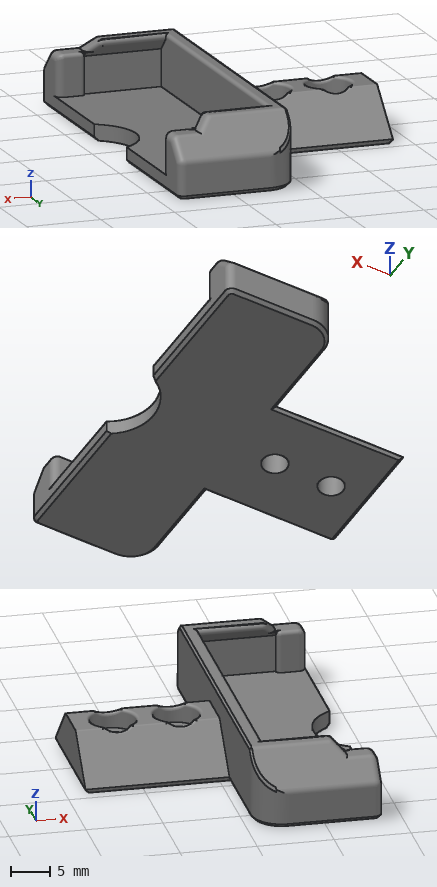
import cadquery as cq
import math

length_x = 35.0
tray_width = 50.0
tray_height = 9.5
tray_left = 18.7
corner_radius = 4.0
bevel = 4.55
outer_fillet = 1.0
rim_chamfer = 0.3
rim_chamfer_length = 2.5
base_chamfer = 0.5

post_height = 7.75
ramp_start = 29.4
ramp_fillet = 0.7
ramp_end = ramp_start + tray_height - post_height

floor_height = 2.15
left_wall = 2.0
pocket_half_width = 20.0
lip_thickness = 2.0
lip_fillet = 0.5
post_seam = 21.0
pad_corner_fillet = 0.6

notch_radius = 6.75
notch_depth = 3.45

rail_height = 6.35
rail_half_width = 8.7
rail_edge_height = 0.6
rail_foot_inset = 0.25
rail_fillet = 0.4

hole_positions = (5.5, 13.75)
hole_diameter = 3.5
head_diameter = 6.0
head_seat_height = 3.75

tolerance = 0.005

half_width = tray_width / 2
pocket_left = tray_left + left_wall
bevel_sum = half_width + tray_height - bevel
lip_sum = bevel_sum - lip_thickness * math.sqrt(2)
pad_face = lip_sum - post_height
rim_chamfer_end = tray_left + rim_chamfer_length
notch_center = length_x - notch_depth + notch_radius


def box_between(x0, x1, y0, y1, z0, z1):
    """Box spanning the given coordinate ranges."""
    return cq.Workplane("XY", origin=(x0, y0, z0)).box(x1 - x0, y1 - y0, z1 - z0, centered=False)


def edges_where(solid, test):
    """Select the edges that pass a test on the edge, its bounding box and its centre."""
    return solid.newObject([e for e in solid.edges().vals() if test(e, e.BoundingBox(), e.Center())])


def outer_block():
    """Solid tray body: bevelled, stepped down at the open end and rounded on the outside."""
    step = (
        cq.Workplane("XZ")
        .polyline([
            (ramp_start, tray_height),
            (ramp_end, post_height),
            (length_x, post_height),
            (length_x, tray_height),
        ])
        .close()
        .extrude(half_width, both=True)
    )
    bevelled_bar = (
        cq.Workplane("YZ")
        .polyline([
            (-half_width, 0),
            (half_width, 0),
            (half_width, tray_height - bevel),
            (half_width - bevel, tray_height),
            (bevel - half_width, tray_height),
            (-half_width, tray_height - bevel),
        ])
        .close()
        .extrude(length_x)
        .cut(step)
    )

    def is_along_bevel(edge, box, center):
        on_bevel = abs(abs(center.y) + center.z - bevel_sum) < tolerance
        return on_bevel and box.xmax - box.xmin > tolerance

    rounded_bar = edges_where(bevelled_bar, is_along_bevel).fillet(outer_fillet)
    rounded_plan = box_between(tray_left, length_x, -half_width, half_width, 0, tray_height)
    rounded_plan = rounded_plan.edges("|Z and <X").fillet(corner_radius)
    sharp_block = rounded_plan.intersect(bevelled_bar)
    block = rounded_plan.intersect(rounded_bar)

    def is_rim(edge, box, center):
        on_left_end = box.xmax < tray_left + corner_radius + tolerance
        return on_left_end and box.zmax > tray_height - bevel + tolerance and box.zmin > tolerance

    trimmed = edges_where(sharp_block, is_rim).chamfer(rim_chamfer)
    rim_waste = sharp_block.cut(trimmed).intersect(
        box_between(tray_left, rim_chamfer_end, -half_width, half_width, 0, tray_height)
    )
    return block.cut(rim_waste)


def pocket():
    """Opening with side lips that lean inwards, parallel to the bevels."""
    return (
        cq.Workplane("YZ", origin=(pocket_left, 0, 0))
        .polyline([
            (-pocket_half_width, floor_height),
            (pocket_half_width, floor_height),
            (pocket_half_width, lip_sum - pocket_half_width),
            (lip_sum - tray_height, tray_height),
            (tray_height - lip_sum, tray_height),
            (-pocket_half_width, lip_sum - pocket_half_width),
        ])
        .close()
        .extrude(length_x - pocket_left)
    )


def round_lip(tray):
    """Round the inner top edge of the left wall and of the overhanging side lips."""

    def is_inner_edge(edge, box, center):
        on_lip = abs(abs(center.y) + center.z - lip_sum) < tolerance and box.zmax > post_height + tolerance
        on_left_wall = abs(center.x - pocket_left) < tolerance and box.zmin > tray_height - tolerance
        along_lip = on_lip and box.xmax - box.xmin > tolerance
        return along_lip or (on_left_wall and box.xmax - box.xmin < tolerance)

    return edges_where(tray, is_inner_edge).fillet(lip_fillet)


def round_open_end(tray):
    """Round the ends of the posts and the top edges of the ramps."""

    def is_post_end(edge, box, center):
        at_end = box.xmin > length_x - tolerance
        return at_end and abs(center.y) > pocket_half_width + tolerance

    def is_ramp_top(edge, box, center):
        return (
            abs(center.x - ramp_start) < tolerance
            and box.xmax - box.xmin < tolerance
            and box.zmin > tray_height - tolerance
        )

    tray = edges_where(tray, is_post_end).fillet(outer_fillet)
    return edges_where(tray, is_ramp_top).fillet(ramp_fillet)


def grip_pad():
    """Inner part of the +Y post, reaching inwards past the pocket wall."""
    pad = box_between(ramp_end, length_x, pad_face, post_seam, floor_height, post_height)
    pad = pad.faces("<Y").edges(">Z").fillet(lip_fillet)

    def is_open_end(edge, box, center):
        at_end = box.xmin > length_x - tolerance and box.zmax > floor_height + tolerance
        return at_end and center.y < post_seam - tolerance

    def is_entry_corner(edge, box, center):
        at_entry = box.xmax < ramp_end + tolerance
        return at_entry and box.ymax < pad_face + tolerance

    pad = edges_where(pad, is_open_end).fillet(outer_fillet)
    return edges_where(pad, is_entry_corner).fillet(pad_corner_fillet)


def rail():
    """Dovetail-shaped bar with two counterbored screw holes."""
    top_half_width = rail_half_width - (rail_height - rail_edge_height)
    foot_half_width = rail_half_width - rail_foot_inset
    bar = (
        cq.Workplane("YZ")
        .polyline([
            (-foot_half_width, 0),
            (foot_half_width, 0),
            (rail_half_width, rail_edge_height),
            (top_half_width, rail_height),
            (-top_half_width, rail_height),
            (-rail_half_width, rail_edge_height),
        ])
        .close()
        .extrude(pocket_left)
    )
    bar = bar.faces("<X").edges("<Z").chamfer(base_chamfer)
    bar = bar.faces(">Z").edges("|X").fillet(rail_fillet)
    for x in hole_positions:
        bore = cq.Workplane("XY", origin=(x, 0, 0)).circle(hole_diameter / 2).extrude(rail_height)
        head = (
            cq.Workplane("XY", origin=(x, 0, head_seat_height))
            .circle(head_diameter / 2)
            .extrude(rail_height - head_seat_height)
        )
        bar = bar.cut(bore).cut(head)

    def is_head_rim(edge, box, center):
        return edge.geomType() != "LINE" and box.zmin > head_seat_height + tolerance and box.xmin > tolerance

    bar = edges_where(bar, is_head_rim).fillet(rail_fillet)
    return bar


tray = outer_block().cut(pocket())
tray = round_open_end(round_lip(tray))
for x_start, opening in ((ramp_end, pocket_half_width), (ramp_end + pad_corner_fillet, post_seam)):
    tray = tray.cut(box_between(x_start, length_x, -opening, opening, floor_height, tray_height))
pad = grip_pad()
tray = tray.union(pad).union(pad.mirror("XZ"))
tray = tray.faces("<Z").edges().chamfer(base_chamfer)
notch = cq.Workplane("XY", origin=(notch_center, 0, 0)).circle(notch_radius).extrude(tray_height)
result = tray.union(rail()).cut(notch)